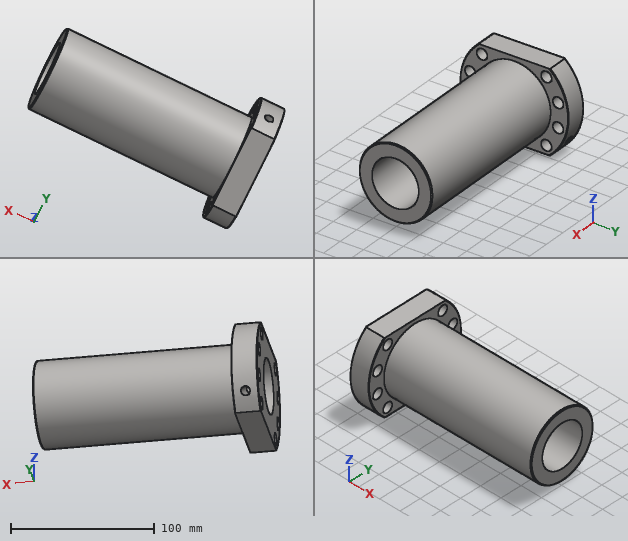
import cadquery as cq

total_length = 162.0
flange_thickness = 18.5
flange_diameter = 93.0
flange_height = 70.0
flange_chamfer = 0.5
body_diameter = 62.5
body_chamfer = 0.8
bore_diameter = 40.0

screw_hole_diameter = 9.0
pitch_diameter = 78.0
side_angles = (15, 45)

oil_hole_diameter = 6.5
oil_hole_angle = -sum(side_angles) / len(side_angles)


def cylinder(diameter, length):
    """Solid cylinder along +X, starting at X = 0."""
    return cq.Workplane("YZ").circle(diameter / 2).extrude(length)


def make_flange():
    """Round flange with chamfered rims, cut to flats at top and bottom."""
    disc = cylinder(flange_diameter, flange_thickness).edges().chamfer(flange_chamfer)
    flats = cq.Workplane("YZ").rect(flange_diameter, flange_height).extrude(flange_thickness)
    return disc.intersect(flats)


def make_screw_holes():
    """Through holes mirrored to all four quadrants of the flange."""
    holes = cq.Workplane("YZ")
    for side_angle in side_angles:
        for angle in (side_angle, -side_angle, 180 - side_angle, 180 + side_angle):
            holes = holes.union(
                cylinder(screw_hole_diameter, flange_thickness)
                .translate((0, pitch_diameter / 2, 0))
                .rotate((0, 0, 0), (1, 0, 0), angle)
            )
    return holes


def make_oil_hole():
    """Radial hole at mid flange thickness, from the axis to beyond the rim."""
    return (
        cq.Workplane("XZ")
        .center(flange_thickness / 2, 0)
        .circle(oil_hole_diameter / 2)
        .extrude(-flange_diameter)
        .rotate((0, 0, 0), (1, 0, 0), oil_hole_angle)
    )


body = cylinder(body_diameter, total_length).faces(">X").edges().chamfer(body_chamfer)
result = (
    make_flange()
    .union(body)
    .cut(cylinder(bore_diameter, total_length))
    .cut(make_screw_holes())
    .cut(make_oil_hole())
)